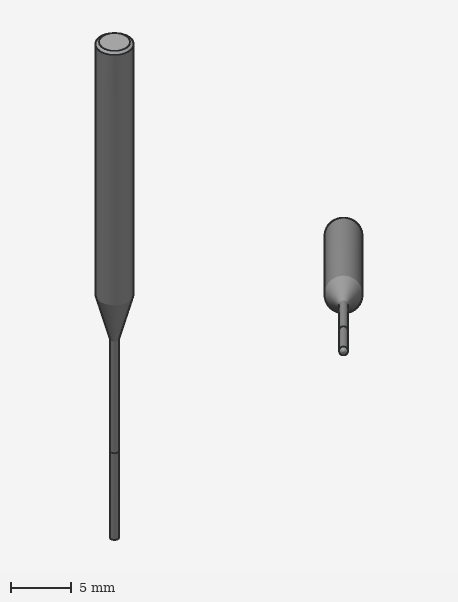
import cadquery as cq
import math

TOTAL_LENGTH = 50.15
SHANK_DIAMETER = 3.15
CUTTER_DIAMETER = 0.75

CUTTER_TOP = 9.0
NECK_TOP = 20.2
TAPER_TOP = 24.7

BEVEL_WIDTH = 0.3
BEVEL_HEIGHT = 0.2

POINT_ANGLE = 118.0

SHANK_RADIUS = SHANK_DIAMETER / 2
CUTTER_RADIUS = CUTTER_DIAMETER / 2
POINT_HEIGHT = CUTTER_RADIUS / math.tan(math.radians(POINT_ANGLE / 2))


def revolve_profile(points):
    """Turn a closed (radius, height) profile around the Z axis."""
    return cq.Workplane("XZ").polyline(points).close().revolve(360, (0, 0, 0), (0, 1, 0))


def make_holder():
    """Bevelled shank that tapers down to a slim neck."""
    return revolve_profile([
        (0, CUTTER_TOP),
        (CUTTER_RADIUS, CUTTER_TOP),
        (CUTTER_RADIUS, NECK_TOP),
        (SHANK_RADIUS, TAPER_TOP),
        (SHANK_RADIUS, TOTAL_LENGTH - BEVEL_HEIGHT),
        (SHANK_RADIUS - BEVEL_WIDTH, TOTAL_LENGTH),
        (0, TOTAL_LENGTH),
    ])


def make_cutter():
    """Cylindrical cutting end with a conical point, butted against the neck."""
    return revolve_profile([
        (0, 0),
        (CUTTER_RADIUS, POINT_HEIGHT),
        (CUTTER_RADIUS, CUTTER_TOP),
        (0, CUTTER_TOP),
    ])


holder = make_holder()
cutter = make_cutter()

result = cq.Compound.makeCompound([holder.val(), cutter.val()])